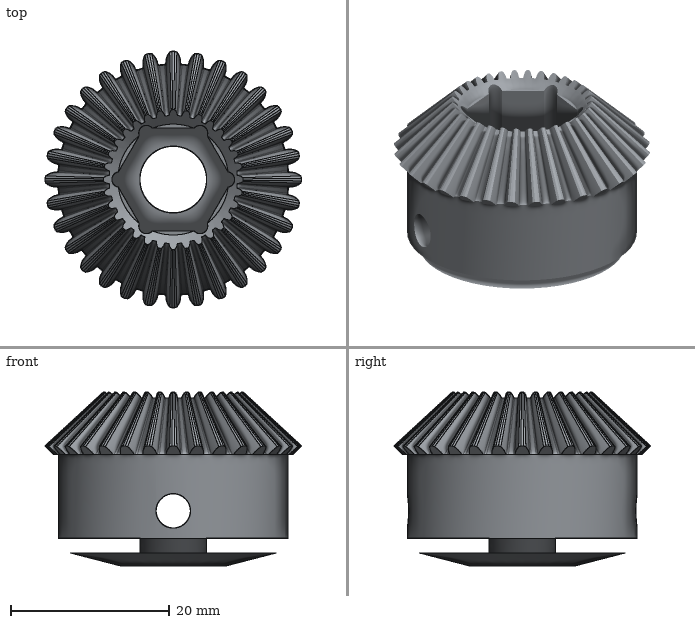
import cadquery as cq
import math

tooth_count = 32
total_height = 21.95
outer_radius = 16.2
pitch_radius = 15.57
apex_z = 30.1
tooth_dedendum = 1.1
tip_flat_half_width = 0.15
tip_half_width = 0.45
tip_crown = 0.13
pitch_half_width = 0.78
root_half_width = 0.95
root_fillet_height = 0.23
root_fillet_width = 0.2

hub_diameter = 29.0
hub_bottom_z = 3.5
hub_top_z = 14.05

bore_diameter = 8.4
neck_diameter = 8.45
disc_diameter = 25.93
disc_bottom_diameter = 13.17
disc_height = 1.65

hex_across_flats = 12.95
hex_floor_z = 13.6
mouth_diameter = 14.0
relief_radius = 0.97
relief_center_radius = 6.75

cross_hole_diameter = 4.3
cross_hole_z = 6.95

tip_z = apex_z - 2 * pitch_radius + outer_radius
top_tip_radius = (apex_z - total_height) * outer_radius / (apex_z - tip_z)

underside_radius = outer_radius - (tip_z - hub_top_z)
mouth_z = total_height - (top_tip_radius - mouth_diameter / 2)

pitch_angle = 360 / tooth_count

cone_distance = pitch_radius * math.sqrt(2)
tooth_addendum = (outer_radius - pitch_radius) * math.sqrt(2)


def blank_sector():
    """One tooth pitch of the turned blank: disc, neck, hub and the uncut gear cone, with the bore."""
    outline = [
        (bore_diameter / 2, 0),
        (disc_bottom_diameter / 2, 0),
        (disc_diameter / 2, disc_height),
        (neck_diameter / 2, disc_height),
        (neck_diameter / 2, hub_bottom_z),
        (hub_diameter / 2, hub_bottom_z),
        (hub_diameter / 2, hub_top_z),
        (underside_radius, hub_top_z),
        (outer_radius, tip_z),
        (top_tip_radius, total_height),
        (mouth_diameter / 2, mouth_z),
        (bore_diameter / 2, mouth_z),
    ]
    sector = cq.Workplane("XZ").polyline(outline).close().revolve(pitch_angle, (0, 0), (0, 1))
    return sector.rotate((0, 0, 0), (0, 0, 1), -pitch_angle / 2)


def gap_point(half_width, height):
    """Carry a point of the tooth section half a tooth pitch round, onto the section of the gap.

    The tooth surfaces are made of straight lines through the apex, so the point slides along
    its line until it meets the plane of the gap section. Returns (width, height) there.
    """
    half_pitch = math.pi / tooth_count
    radial = (cone_distance + height) / math.sqrt(2)
    axial = (height - cone_distance) / math.sqrt(2)
    across = radial * math.sin(half_pitch) - half_width * math.cos(half_pitch)
    along = radial * math.cos(half_pitch) + half_width * math.sin(half_pitch)
    stretch = cone_distance * math.sqrt(2) / (along - axial)
    return across * stretch, (along + axial) / math.sqrt(2) * stretch


def gap_section(scale):
    """Outline of one tooth gap on a plane square to the pitch cone, shrunk towards the apex."""
    plane = cq.Plane(
        origin=(pitch_radius * scale, 0, apex_z - pitch_radius * scale),
        xDir=(0, 1, 0),
        normal=(1, 0, -1),
    )

    def right(point):
        return point[0] * scale, point[1] * scale

    def left(point):
        return -point[0] * scale, point[1] * scale

    tip_clearance = 0.5
    fillet_sag = 1 - math.sqrt(0.5)
    above = gap_point(tip_flat_half_width, tooth_addendum + tip_clearance)
    crown = gap_point(tip_flat_half_width, tooth_addendum)
    corner = gap_point(tip_half_width, tooth_addendum - tip_crown)
    pitch = gap_point(pitch_half_width, 0)
    root = gap_point(root_half_width, root_fillet_height - tooth_dedendum)
    fillet_middle = gap_point(
        root_half_width + root_fillet_width * fillet_sag,
        root_fillet_height * fillet_sag - tooth_dedendum,
    )
    floor = gap_point(root_half_width + root_fillet_width, -tooth_dedendum)
    return (
        cq.Workplane(plane)
        .moveTo(*left(above))
        .lineTo(*left(crown))
        .lineTo(*left(corner))
        .threePointArc(left(pitch), left(root))
        .threePointArc(left(fillet_middle), left(floor))
        .lineTo(*right(floor))
        .threePointArc(right(fillet_middle), right(root))
        .threePointArc(right(pitch), right(corner))
        .lineTo(*right(crown))
        .lineTo(*right(above))
        .close()
        .val()
    )


def gap_cutter():
    """Cutter for one tooth gap, running past both ends of the teeth."""
    overrun = 0.1
    inner = gap_section(top_tip_radius / outer_radius - overrun)
    outer = gap_section(1 + overrun)
    return cq.Workplane(cq.Solid.makeLoft([inner, outer], True))


def toothed_body():
    """Full gear: a sector with one gap, doubled about Z until it closes the circle.

    The sectors meet through the middle of the teeth. The tooth count is a power of two.
    """
    body = blank_sector().cut(gap_cutter()).rotate((0, 0, 0), (0, 0, 1), pitch_angle / 2)
    sector_count = 1
    while sector_count < tooth_count:
        turned_copy = body.rotate((0, 0, 0), (0, 0, 1), sector_count * pitch_angle)
        body = body.union(turned_copy, glue=True, clean=True)
        sector_count *= 2
    return body


def nut_pocket():
    depth = total_height - hex_floor_z
    hex_across_corners = hex_across_flats / math.cos(math.pi / 6)
    floor = cq.Workplane("XY").workplane(offset=hex_floor_z)
    hexagon = floor.polygon(6, hex_across_corners).extrude(depth)
    reliefs = floor.polarArray(relief_center_radius, 0, 360, 6).circle(relief_radius).extrude(depth)
    return hexagon.union(reliefs)


def cross_hole():
    return (
        cq.Workplane("XZ")
        .center(0, cross_hole_z)
        .circle(cross_hole_diameter / 2)
        .extrude(hub_diameter / 2, both=True)
    )


result = toothed_body().cut(nut_pocket().union(cross_hole()))